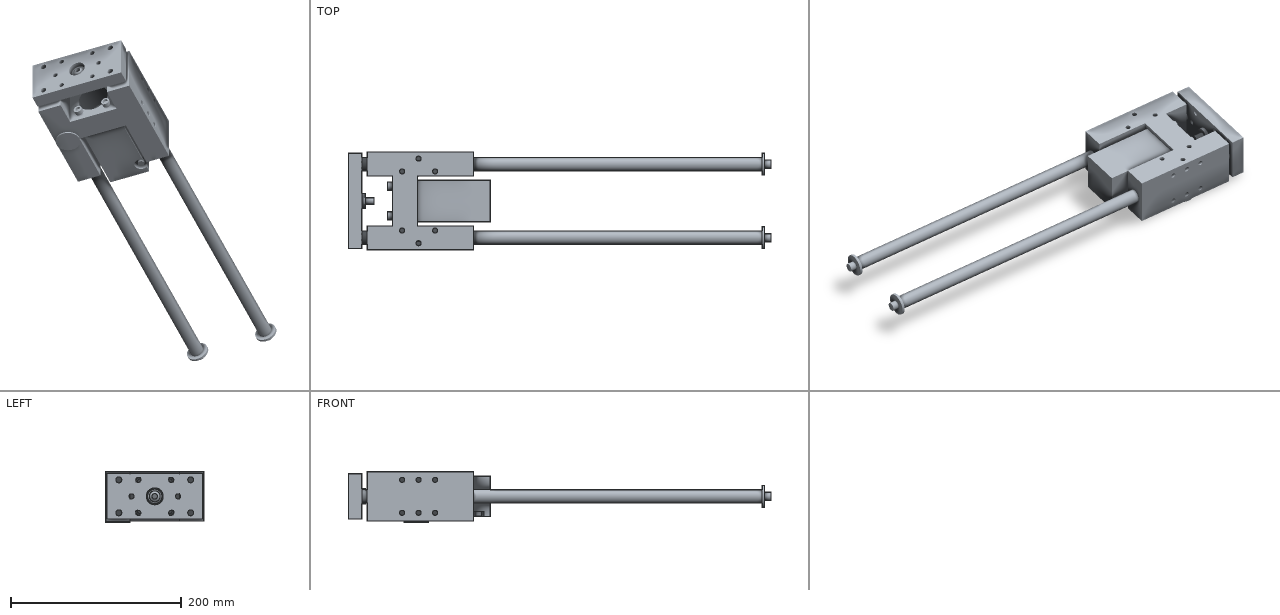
import cadquery as cq

PLATE_END = 16.0
HOUSING_START = 22.0
HOUSING_END = 147.0
WEB_START = 51.5
WEB_END = 81.5
CYLINDER_END = 166.5
FLANGE_START = 485.5
FLANGE_END = 488.5
ROD_TIP_END = 496.0

ROD_Y = 43.0
ROD_DIAMETER = 16.0
HOLE_PITCH = 19.5

HOUSING_WIDTH = 115.0
HOUSING_HEIGHT = 58.0
LEG_GAP = 58.5
CYLINDER_WIDTH = 49.0
CYLINDER_HEIGHT = 47.5
WEB_BORE_DIAMETER = 36.5

CAP_X = 79.5
CAP_DIAMETER = 29.0
CAP_THICKNESS = 1.5

MOUNT_HOLES_X = 82.5
MOUNT_HOLE_DIAMETER = 6.0
SIDE_HOLE_DEPTH = 10.0
TOP_HOLE_DEPTH = 6.0
TOP_INNER_HOLE_Y = 34.5
TOP_OUTER_HOLE_Y = 49.5

SCREW_OFFSET = 17.5
SCREW_HEAD_DIAMETER = 10.0
SCREW_HEAD_HEIGHT = 6.0
SCREW_SOCKET_DIAMETER = 6.0
SCREW_SOCKET_DEPTH = 3.0

PLUG_X = 152.5
PLUG_INSET = 4.5
PLUG_DIAMETER = 8.0
PLUG_HEIGHT = 5.0
PLUG_RECESS_DIAMETER = 16.0
PLUG_RECESS_DEPTH = 6.0

PLATE_WIDTH = 112.0
PLATE_HEIGHT = 53.5
PLATE_OUTER_HOLE_Y = 42.0
PLATE_OUTER_HOLE_DIAMETER = 7.0
PLATE_INNER_HOLE_DIAMETER = 6.0
PLATE_MIDDLE_HOLE_Y = 27.5
PLATE_MIDDLE_HOLE_DIAMETER = 6.0

COUNTERBORE_DIAMETER = 20.0
COUNTERBORE_DEPTH = 9.0
STUD_HEAD_DIAMETER = 17.0
STUD_HEAD_START = 5.0
STUD_DOME_DIAMETER = 13.0
STUD_DOME_HEIGHT = 3.0
STUD_SOCKET_DIAMETER = 6.5
STUD_SOCKET_DEPTH = 5.0
STUD_COLLAR_DIAMETER = 18.0
STUD_COLLAR_END = 20.0
STUD_DIAMETER = 8.0
STUD_END = 30.5

FLANGE_DIAMETER = 26.0
ROD_TIP_DIAMETER = 10.0

ON_AXIS = [(0, 0)]
ROD_CENTRES = [(-ROD_Y, 0), (ROD_Y, 0)]


def block(x_start, x_end, width, height):
    """A box centred on the X axis."""
    length = x_end - x_start
    return cq.Workplane("XY").box(length, width, height).translate((x_start + length / 2, 0, 0))


def x_cylinders(x_start, x_end, diameter, centres):
    """Cylinders along X at the given (y, z) centres."""
    start_plane = cq.Workplane("YZ", origin=(x_start, 0, 0))
    return start_plane.pushPoints(centres).circle(diameter / 2).extrude(x_end - x_start)


def z_cylinders(z_start, z_end, diameter, centres):
    """Cylinders along Z at the given (x, y) centres."""
    start_plane = cq.Workplane("XY", origin=(0, 0, z_start))
    return start_plane.pushPoints(centres).circle(diameter / 2).extrude(z_end - z_start)


def four_corners(first, second):
    return [(i * first, j * second) for i in (-1, 1) for j in (-1, 1)]


def housing_blank():
    blank = block(HOUSING_START, HOUSING_END, HOUSING_WIDTH, HOUSING_HEIGHT)
    blank = blank.cut(block(HOUSING_START, WEB_START, LEG_GAP, HOUSING_HEIGHT))
    blank = blank.cut(block(WEB_END, HOUSING_END, LEG_GAP, HOUSING_HEIGHT))
    blank = blank.union(block(WEB_END, CYLINDER_END, CYLINDER_WIDTH, CYLINDER_HEIGHT))
    blank = blank.cut(x_cylinders(WEB_START, WEB_END, WEB_BORE_DIAMETER, ON_AXIS))
    return blank.cut(x_cylinders(HOUSING_START, HOUSING_END, ROD_DIAMETER, ROD_CENTRES))


def side_mounting_holes():
    """Three columns of two blind holes in each outer side."""
    centres = [(MOUNT_HOLES_X + i * HOLE_PITCH, j * HOLE_PITCH) for i in (-1, 0, 1) for j in (-1, 1)]
    face = cq.Workplane("XZ", origin=(0, HOUSING_WIDTH / 2, 0))
    holes = face.pushPoints(centres).circle(MOUNT_HOLE_DIAMETER / 2).extrude(SIDE_HOLE_DEPTH)
    return holes.union(holes.mirror("XZ"))


def top_mounting_holes():
    """A triangle of blind holes in the top of each leg."""
    centres = []
    for side in (-1, 1):
        centres.append((MOUNT_HOLES_X - HOLE_PITCH, side * TOP_INNER_HOLE_Y))
        centres.append((MOUNT_HOLES_X + HOLE_PITCH, side * TOP_INNER_HOLE_Y))
        centres.append((MOUNT_HOLES_X, side * TOP_OUTER_HOLE_Y))
    top = HOUSING_HEIGHT / 2
    return z_cylinders(top - TOP_HOLE_DEPTH, top, MOUNT_HOLE_DIAMETER, centres)


def web_screw_heads():
    centres = four_corners(SCREW_OFFSET, SCREW_OFFSET)
    head_start = WEB_START - SCREW_HEAD_HEIGHT
    heads = x_cylinders(head_start, WEB_START, SCREW_HEAD_DIAMETER, centres)
    return heads.cut(x_cylinders(head_start, head_start + SCREW_SOCKET_DEPTH, SCREW_SOCKET_DIAMETER, centres))


def add_cylinder_plug(body):
    centre = [(PLUG_X, PLUG_INSET - CYLINDER_WIDTH / 2)]
    recess_bottom = -CYLINDER_HEIGHT / 2
    recess_top = recess_bottom + PLUG_RECESS_DEPTH
    body = body.cut(z_cylinders(recess_bottom, recess_top, PLUG_RECESS_DIAMETER, centre))
    return body.union(z_cylinders(recess_top - PLUG_HEIGHT, recess_top, PLUG_DIAMETER, centre))


def make_housing():
    body = housing_blank()
    body = body.cut(side_mounting_holes())
    body = body.cut(top_mounting_holes())
    body = body.union(web_screw_heads())
    body = add_cylinder_plug(body)
    underside = -HOUSING_HEIGHT / 2
    cap = z_cylinders(underside - CAP_THICKNESS, underside, CAP_DIAMETER, [(CAP_X, ROD_Y)])
    return body.union(cap)


def tooling_plate():
    outer_holes = four_corners(PLATE_OUTER_HOLE_Y, HOLE_PITCH)
    inner_holes = four_corners(HOLE_PITCH, HOLE_PITCH)
    middle_holes = [(-PLATE_MIDDLE_HOLE_Y, 0), (PLATE_MIDDLE_HOLE_Y, 0)]
    plate = block(0, PLATE_END, PLATE_WIDTH, PLATE_HEIGHT)
    plate = plate.cut(x_cylinders(0, PLATE_END, PLATE_OUTER_HOLE_DIAMETER, outer_holes))
    plate = plate.cut(x_cylinders(0, PLATE_END, PLATE_INNER_HOLE_DIAMETER, inner_holes))
    plate = plate.cut(x_cylinders(0, PLATE_END, PLATE_MIDDLE_HOLE_DIAMETER, middle_holes))
    return plate.cut(x_cylinders(0, COUNTERBORE_DEPTH, COUNTERBORE_DIAMETER, ON_AXIS))


def coupling_stud():
    dome_start = STUD_HEAD_START - STUD_DOME_HEIGHT
    dome_profile = [
        (dome_start, 0),
        (dome_start, STUD_SOCKET_DIAMETER / 2),
        (STUD_HEAD_START, STUD_DOME_DIAMETER / 2),
        (STUD_HEAD_START, 0),
    ]
    dome = cq.Workplane("XY").polyline(dome_profile).close().revolve(360, (0, 0), (1, 0))
    stud = x_cylinders(STUD_HEAD_START, PLATE_END, STUD_HEAD_DIAMETER, ON_AXIS).union(dome)
    stud = stud.cut(x_cylinders(dome_start, dome_start + STUD_SOCKET_DEPTH, STUD_SOCKET_DIAMETER, ON_AXIS))
    stud = stud.union(x_cylinders(PLATE_END, STUD_COLLAR_END, STUD_COLLAR_DIAMETER, ON_AXIS))
    return stud.union(x_cylinders(STUD_COLLAR_END, STUD_END, STUD_DIAMETER, ON_AXIS))


def guide_rods():
    rods = x_cylinders(PLATE_END, FLANGE_START, ROD_DIAMETER, ROD_CENTRES)
    rods = rods.union(x_cylinders(FLANGE_START, FLANGE_END, FLANGE_DIAMETER, ROD_CENTRES))
    return rods.union(x_cylinders(FLANGE_END, ROD_TIP_END, ROD_TIP_DIAMETER, ROD_CENTRES))


def make_slide():
    return tooling_plate().union(coupling_stud()).union(guide_rods())


housing = make_housing()
slide = make_slide()
result = cq.Compound.makeCompound([housing.val(), slide.val()])